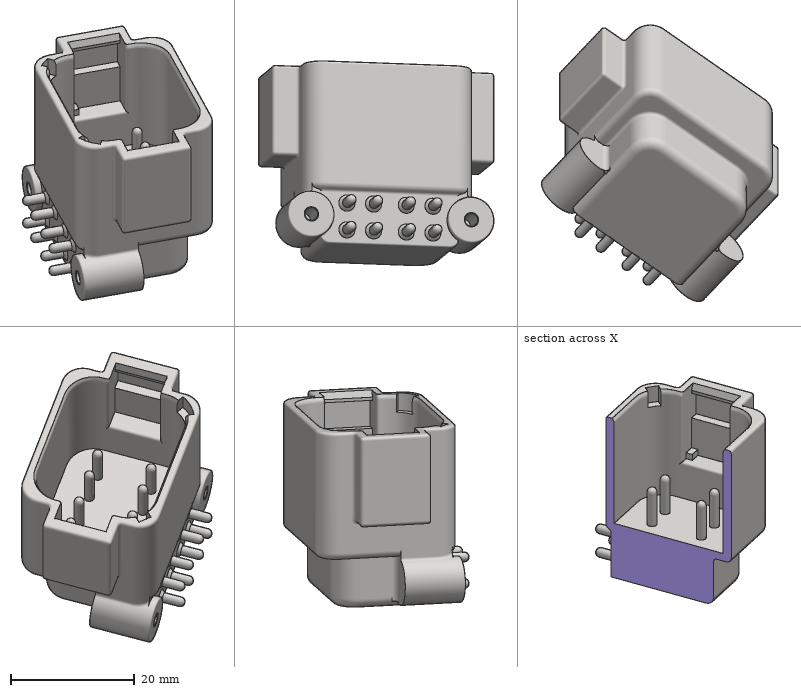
import cadquery as cq
import math


shell_x = 28.0
shell_y = 23.3
shell_corner = 3.45
top_z = 29.9
shell_bottom_z = 8.8
bottom_round = 1.03
edge_round = 0.5

wing_x = 36.75
wing_y = 11.7
wing_bottom_z = 15.05

cavity_x = 24.77
cavity_y = 20.05
cavity_corner = 4.63
cavity_floor_z = 10.3
lip_width = 0.35
lip_height = 0.62
lip_blend = 0.75

slot_y = 8.75
slot_floor_z = 16.95
slot_wall_x = 15.7
slot_lead_in = 0.55
slot_lead_height = 1.1
slot_edge_round = 0.45
window_depth = 1.55
window_bottom_z = 23.63
window_top_z = 28.3
key_x = 1.87
key_y = 1.18
key_height = 1.1

notch_depth = 2.95
notch_reach = 6.0
left_notch_width = 2.15
right_notch_angle = 38.0

base_x = 23.0
base_back_y = 8.38
base_front_y = -10.73
base_corner = 4.0
base_bottom_round = 1.5
base_front_round = 0.25
neck_round = 0.5

boss_x = 13.25
boss_z = 4.5
boss_radius = 3.8
boss_front_y = -11.95
boss_back_y = -1.85
boss_edge_round = 0.25
boss_blend = 0.5
flank_round = 0.85
flank_drop = 3.53
flank_overlap = 0.35
screw_radius = 1.05
screw_depth = 5.88
screw_chamfer = 0.1

margin = 0.05
tiny = 0.007

pin_radius = 0.8
pin_columns = (-7.13, -2.72, 2.72, 7.13)
solder_rows_z = (2.28, 6.7)
mating_rows_y = (-4.55, 4.55)
pin_tip_y = -14.9
pin_tip_z = 17.13
collar_radius = 1.32
collar_height = collar_radius - pin_radius


def block(x0, x1, y0, y1, z0, z1):
    size = (x1 - x0, y1 - y0, z1 - z0)
    return cq.Workplane("XY").box(*size, centered=False).translate((x0, y0, z0))


def rounded_column(size_x, size_y, corner, z0, z1):
    column = cq.Workplane("XY").workplane(offset=z0).rect(size_x, size_y).extrude(z1 - z0)
    return column.edges("|Z").fillet(corner)


def box_edges(body, low, high):
    """Edges lying entirely within the box between two corner points."""
    return body.edges(cq.selectors.BoxSelector(low, high, boundingbox=True))


def end_edges(body, side, inner, outer):
    """Edges near one end: corner points are given as (abs x, y, z) and mirrored for side -1."""
    xs = sorted((side * inner[0], side * outer[0]))
    return box_edges(body, (xs[0], *inner[1:]), (xs[1], *outer[1:]))


def make_shroud():
    shroud = rounded_column(shell_x, shell_y, shell_corner, shell_bottom_z, top_z)
    shroud = shroud.faces("<Z").edges().fillet(bottom_round)
    wings = block(-wing_x / 2, wing_x / 2, -wing_y / 2, wing_y / 2, wing_bottom_z, top_z)
    wings = wings.edges("|Z").fillet(edge_round).faces("<Z").edges().fillet(edge_round)
    shroud = shroud.union(wings)
    for side in (-1, 1):
        corner = end_edges(
            shroud, side,
            (shell_x / 2 - margin, -wing_y / 2 - margin, wing_bottom_z - margin),
            (shell_x / 2 + margin, wing_y / 2 + margin, top_z + margin),
        )
        shroud = corner.fillet(edge_round)
    return shroud.faces(">Z").edges().fillet(edge_round)


def make_saddle():
    """Carry the shell walls down onto the bosses, in front of the bosses' back faces."""
    column = rounded_column(shell_x, shell_y, shell_corner, boss_z, shell_bottom_z + bottom_round)
    return column.intersect(
        block(-shell_x / 2, shell_x / 2, base_front_y, boss_back_y, boss_z, top_z)
    )


def make_base():
    base = block(-base_x / 2, base_x / 2, base_front_y, base_back_y, 0, cavity_floor_z)
    base = base.edges("|Z and >Y").fillet(base_corner)
    base = base.edges("<Z and (not <Y)").fillet(base_bottom_round)
    return base.edges("<Z and <Y").fillet(base_front_round)


def make_flank_blend(side):
    """Concave strip between one base side and the back faces of the saddle and boss."""
    side_x = base_x / 2
    end_y = boss_back_y + flank_round
    outer_x = side_x + flank_round
    middle = (
        outer_x - flank_round * math.sqrt(0.5),
        end_y - flank_round * math.sqrt(0.5),
    )
    return (
        cq.Workplane("XY", origin=(0, 0, boss_z - flank_drop))
        .moveTo(side * side_x, end_y)
        .threePointArc((side * middle[0], middle[1]), (side * outer_x, boss_back_y))
        .lineTo(side * outer_x, boss_back_y - flank_overlap)
        .lineTo(side * (side_x - flank_overlap), boss_back_y - flank_overlap)
        .lineTo(side * (side_x - flank_overlap), end_y)
        .close()
        .extrude(shell_bottom_z - boss_z + flank_drop)
    )


def make_boss(side):
    boss = (
        cq.Workplane("XZ", origin=(side * boss_x, boss_back_y, boss_z))
        .circle(boss_radius)
        .extrude(boss_back_y - boss_front_y)
    )
    return boss.faces("<Y").edges().fillet(boss_edge_round)


def make_screw_hole(side):
    hole = (
        cq.Workplane("XZ", origin=(side * boss_x, boss_front_y, boss_z))
        .circle(screw_radius)
        .extrude(-screw_depth)
    )
    mouth = cq.Solid.makeCone(
        screw_radius + screw_chamfer, screw_radius, screw_chamfer,
        pnt=cq.Vector(side * boss_x, boss_front_y, boss_z), dir=cq.Vector(0, 1, 0),
    )
    return hole.union(cq.Workplane(mouth))


def make_cavity():
    """Cavity with a steep lead-in chamfer at the lip, rounded where it meets the wall."""
    cavity = rounded_column(cavity_x, cavity_y, cavity_corner, cavity_floor_z, top_z)
    lip = (
        rounded_column(cavity_x + 2 * lip_width, cavity_y + 2 * lip_width,
                       cavity_corner + lip_width, top_z - lip_height, top_z)
        .faces("<Z").edges().chamfer(lip_height - tiny, lip_width)
    )
    cavity = cavity.union(lip)
    lip_edges = box_edges(
        cavity,
        (-cavity_x / 2 - margin, -cavity_y / 2 - margin, top_z - lip_height - margin),
        (cavity_x / 2 + margin, cavity_y / 2 + margin, top_z - lip_height + margin),
    )
    return lip_edges.fillet(lip_blend)


def make_slot(side):
    """Slot in one wing: leaning lead-in at the top, latch window in the end wall."""
    lead_bottom_z = top_z - slot_lead_height
    profile = [
        (0, top_z),
        (slot_wall_x + slot_lead_in, top_z),
        (slot_wall_x, lead_bottom_z),
        (slot_wall_x, window_top_z),
        (slot_wall_x + window_depth, window_top_z),
        (slot_wall_x + window_depth, window_bottom_z),
        (slot_wall_x, window_bottom_z),
        (slot_wall_x, slot_floor_z),
        (0, slot_floor_z),
    ]
    return (
        cq.Workplane("XZ")
        .polyline([(side * x, z) for x, z in profile])
        .close()
        .extrude(slot_y / 2, both=True)
    )


def make_key():
    """Low block in the front corner of the left slot floor."""
    x0 = -slot_wall_x
    y0 = -slot_y / 2
    return block(x0, x0 + key_x, y0, y0 + key_y, slot_floor_z, slot_floor_z + key_height)


def place_in_corner(notch, side):
    """Turn a notch lying along +X towards one front corner of the cavity."""
    angle = -45 if side > 0 else -135
    corner_x = cavity_x / 2 - cavity_corner
    corner_y = cavity_y / 2 - cavity_corner
    return notch.rotate((0, 0, 0), (0, 0, 1), angle).translate((side * corner_x, -corner_y, 0))


def make_left_notch():
    notch = block(0, notch_reach, -left_notch_width / 2, left_notch_width / 2, top_z - notch_depth, top_z)
    return place_in_corner(notch, -1)


def make_right_notch():
    half_angle = math.radians(right_notch_angle / 2)
    end_x = notch_reach * math.cos(half_angle)
    end_y = notch_reach * math.sin(half_angle)
    notch = (
        cq.Workplane("XY", origin=(0, 0, top_z - notch_depth))
        .lineTo(end_x, -end_y)
        .threePointArc((notch_reach, 0), (end_x, end_y))
        .close()
        .extrude(notch_depth)
    )
    return place_in_corner(notch, 1)


def round_tip_pin(length):
    """Pin standing on the origin along +Z with a hemispherical tip."""
    shaft = cq.Workplane("XY").circle(pin_radius).extrude(length)
    return shaft.faces(">Z").edges().fillet(pin_radius - tiny)


def make_solder_pin(x, z):
    collar = cq.Workplane(cq.Solid.makeCone(collar_radius, pin_radius, collar_height))
    pin = round_tip_pin(base_front_y - pin_tip_y).union(collar)
    return pin.rotate((0, 0, 0), (1, 0, 0), 90).translate((x, base_front_y, z))


def make_mating_pin(x, y):
    return round_tip_pin(pin_tip_z - cavity_floor_z).translate((x, y, cavity_floor_z))


def make_body():
    body = make_shroud().union(make_base())
    neck_edges = box_edges(
        body,
        (-base_x / 2 - margin, base_front_y - margin, shell_bottom_z - margin),
        (base_x / 2 + margin, base_back_y + margin, shell_bottom_z + margin),
    )
    body = neck_edges.edges("not <Y").fillet(neck_round).union(make_saddle())

    for side in (-1, 1):
        body = body.union(make_flank_blend(side)).union(make_boss(side))
        boss_top_edges = end_edges(
            body, side,
            (base_x / 2 + flank_round, base_front_y - margin, boss_z + boss_radius / 2),
            (shell_x / 2 + margin, boss_back_y + margin, boss_z + boss_radius + margin),
        )
        body = boss_top_edges.fillet(boss_blend)
    return body


def cut_interior(body):
    body = body.cut(make_cavity())
    for side in (-1, 1):
        body = body.cut(make_slot(side)).cut(make_screw_hole(side))
        slot_mouth = end_edges(
            body, side,
            (cavity_x / 2 - margin, -slot_y / 2 - margin, slot_floor_z - margin),
            (cavity_x / 2 + lip_width + margin, slot_y / 2 + margin, top_z + margin),
        )
        body = slot_mouth.fillet(slot_edge_round)
    return body.cut(make_left_notch()).cut(make_right_notch())


body = cut_interior(make_body()).union(make_key())

for x in pin_columns:
    for z in solder_rows_z:
        body = body.union(make_solder_pin(x, z))
    for y in mating_rows_y:
        body = body.union(make_mating_pin(x, y))

result = body